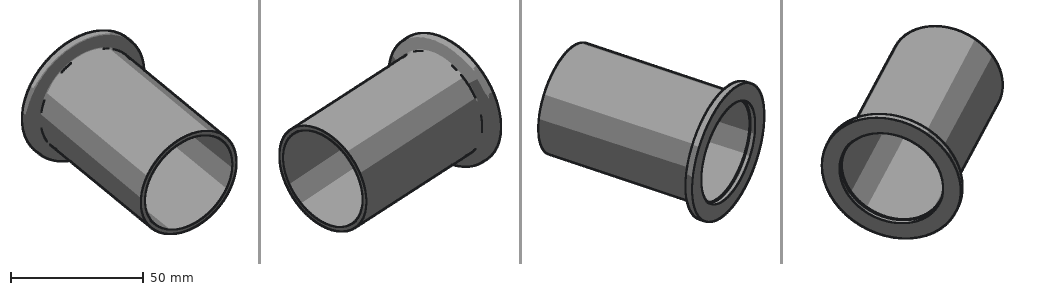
import cadquery as cq
import math

length = 70.0
flange_radius = 55.0 / 2
tube_radius = 44.45 / 2
bore_radius = 40.5 / 2
mouth_radius = 41.0 / 2
mouth_depth = 2.0
mouth_taper_length = 0.35
rim_width = 3.1
cone_angle = 15.0
rim_fillet = 1.0
neck_fillet = 0.5

cone_length = (flange_radius - tube_radius) * math.tan(math.radians(cone_angle))
neck_x = rim_width + cone_length

section = (
    cq.Workplane("XY")
    .moveTo(0, mouth_radius)
    .lineTo(0, flange_radius)
    .lineTo(rim_width, flange_radius)
    .lineTo(neck_x, tube_radius)
    .lineTo(length, tube_radius)
    .lineTo(length, bore_radius)
    .lineTo(mouth_depth + mouth_taper_length, bore_radius)
    .lineTo(mouth_depth, mouth_radius)
    .close()
)
body = section.revolve(360, (0, 0, 0), (1, 0, 0))


def round_edge(solid, x, radius, fillet_radius):
    """Round the circular edge of the given radius at position x."""
    tolerance = 0.01
    reach = radius + 0.7
    box = cq.selectors.BoxSelector(
        (x - tolerance, -reach, -reach),
        (x + tolerance, reach, reach),
        boundingbox=True,
    )
    return solid.edges("%CIRCLE").edges(box).fillet(fillet_radius)


body = round_edge(body, rim_width, flange_radius, rim_fillet)
result = round_edge(body, neck_x, tube_radius, neck_fillet)